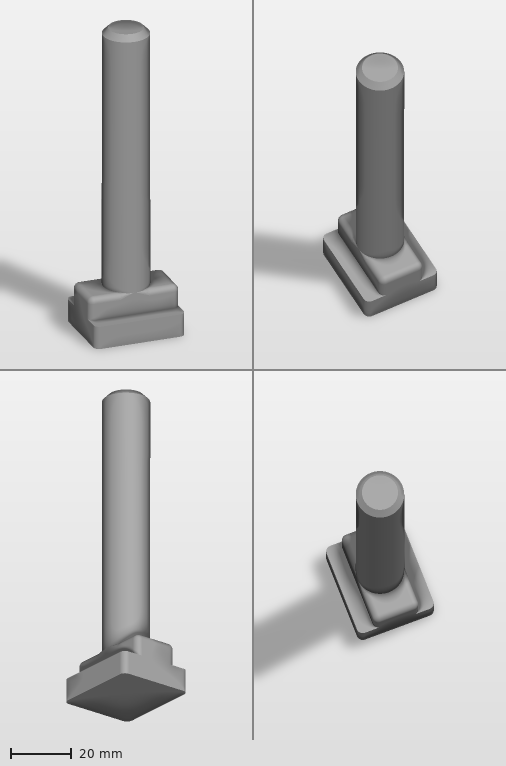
import cadquery as cq
import math

total_height = 108.0
base_width = 27.0
head_length = 32.0
base_height = 8.0
neck_height = 8.0
shank_diameter = 16.0
edge_size = 2.0

neck_width = shank_diameter
neck_side = neck_width / 2
head_height = base_height + neck_height
runout_length = math.sqrt(neck_side**2 - (neck_side - edge_size) ** 2)
runout_tip_size = 0.05


def rounded_block(width, height):
    """Block standing on Z = 0 with rounded vertical corners."""
    block = cq.Workplane("XY").box(width, head_length, height, centered=(True, True, False))
    return block.edges("|Z").fillet(edge_size)


def rim_corner(sketch, size):
    """Section between a sharp neck rim and its rounding of the given size."""
    middle = size * (1 - math.sqrt(0.5))
    return (
        sketch.moveTo(neck_side, head_height)
        .lineTo(neck_side - size, head_height)
        .threePointArc(
            (neck_side - middle, head_height - middle),
            (neck_side, head_height - size),
        )
        .close()
    )


def rim_runout():
    """Rim filler that tapers the +X rounding away towards the middle of the neck, on the -Y half."""
    filler = cq.Workplane("XY").box(edge_size, runout_length, edge_size, centered=False)
    filler = filler.translate((neck_side - edge_size, -runout_length, head_height - edge_size))
    tip = rim_corner(cq.Workplane("XZ"), runout_tip_size)
    taper = rim_corner(tip.workplane(offset=runout_length), edge_size).loft(ruled=True, combine=True)
    return filler.cut(taper)


base = rounded_block(base_width, base_height)
neck = (
    rounded_block(neck_width, neck_height)
    .faces(">Z")
    .edges()
    .fillet(edge_size)
    .translate((0, 0, base_height))
)

shank = (
    cq.Workplane("XY")
    .workplane(offset=base_height)
    .circle(shank_diameter / 2)
    .extrude(total_height - base_height)
    .faces(">Z")
    .chamfer(edge_size)
)

result = base.union(neck).union(shank)

front_right = rim_runout()
front_pair = front_right.union(front_right.mirror("YZ"))
for runout in (front_pair, front_pair.mirror("XZ")):
    result = result.union(runout)